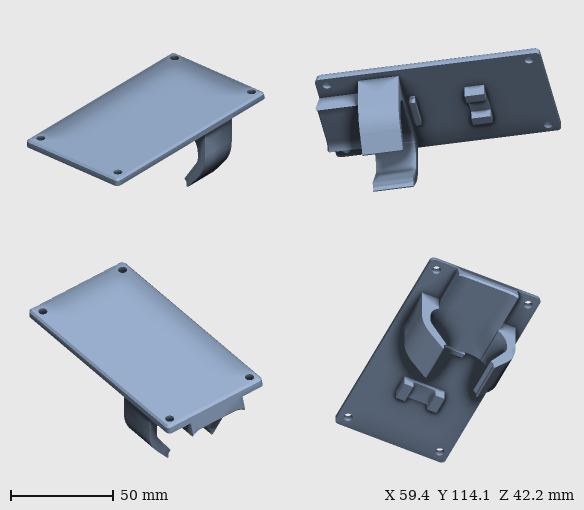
import cadquery as cq
import math

plate_width = 59.4
plate_thickness = 4.0
plate_length = 112.0
rear_slope = 0.31
corner_radius = 2.2
top_chamfer = 1.0

hole_diameter = 4.5
hole_spacing_x = 49.6
hole_front_y = 5.8
hole_spacing_y = 100.6

clip_height = 38.2
clip_front_y = 70.8
clip_depth = 20.1
clip_half_width = 25.3
outer_straight = 17.2
outer_radius = 20.4
outer_lean = math.radians(39)

opening_top = 6.0
opening_half_width = 20.6
opening_radius = 10.3
opening_side = 3.0
lower_radius = 5.7
inner_lean = math.radians(33.2)
tip_half_gap = 12.0
foot_half_gap = 13.5
foot_height = 2.5

lip_half_width = 16.1
lip_chamfer = 1.0
slit_width = 0.3

block_half_width = 11.0
block_front_y = 31.0
block_depth = 9.6
block_height = opening_top
notch_width = 12.1
notch_top = 2.0
notch_radius = 0.7

bar_diameter = 4.5
bar_half_width = 9.1
bar_front_y = 65.8
bar_thickness = 3.4
bar_height = 4.0
bar_chamfer = 1.1
bar_notch_top = 1.0
bar_notch_thickness = 1.8
bar_notch_depth = 0.6


def box(x0, x1, y0, y1, z0, z1):
    """Axis-aligned box between two opposite corners."""
    return cq.Workplane("XY").box(x1 - x0, y1 - y0, z1 - z0, centered=False).translate((x0, y0, z0))


def side_extrusion(points, half_width):
    """Extrude a (Y, Z) outline evenly to both sides of X = 0."""
    return cq.Workplane("YZ").polyline(points).close().extrude(half_width, both=True)


def make_plate():
    rear_top_y = plate_length - rear_slope * plate_thickness
    outline = [(0, 0), (plate_length, 0), (rear_top_y, plate_thickness), (0, plate_thickness)]
    plate = side_extrusion(outline, plate_width / 2)
    plate = plate.faces("<Y").edges("|Z").fillet(corner_radius)
    plate = plate.faces(">Y").edges("not |X").fillet(corner_radius)
    return plate.faces(">Z").edges().chamfer(top_chamfer)


def make_holes():
    centre = (0, hole_front_y + hole_spacing_y / 2)
    return (
        cq.Workplane("XY").center(*centre)
        .rarray(hole_spacing_x, hole_spacing_y, 2, 2)
        .circle(hole_diameter / 2).extrude(plate_thickness)
    )


def arc_point(centre, radius, angle):
    """Point on an arc; the angle runs from +X towards -Z."""
    return (centre[0] + radius * math.cos(angle), centre[1] - radius * math.sin(angle))


def clip_front_workplane():
    """XZ plane on the front of the clip, with its normal along -Y."""
    return cq.Workplane("XZ", origin=(0, clip_front_y, 0))


def half_opening_points():
    """Corner points of the right half of the opening, from its top to the arm tip."""
    upper = (opening_half_width - opening_radius, -opening_top - opening_radius)
    lower = (opening_half_width - lower_radius, upper[1] - opening_side)
    lean_start = arc_point(lower, lower_radius, inner_lean)
    tip_drop = (lean_start[0] - tip_half_gap) / math.tan(inner_lean)
    tip = (tip_half_gap, lean_start[1] - tip_drop)
    return upper, lower, lean_start, tip


def make_arm():
    """Right half of the clip, as a solid from X = 0 to its outer side."""
    upper, lower, lean_start, tip = half_opening_points()
    outer = (clip_half_width - outer_radius, -outer_straight)
    outer_end = arc_point(outer, outer_radius, outer_lean)
    foot_x = outer_end[0] - (outer_end[1] + clip_height) * math.tan(outer_lean)
    return (
        clip_front_workplane()
        .moveTo(0, 0)
        .lineTo(0, -opening_top)
        .lineTo(upper[0], -opening_top)
        .threePointArc(arc_point(upper, opening_radius, -math.pi / 4), (opening_half_width, upper[1]))
        .lineTo(opening_half_width, lower[1])
        .threePointArc(arc_point(lower, lower_radius, inner_lean / 2), lean_start)
        .lineTo(*tip)
        .lineTo(foot_half_gap, foot_height - clip_height)
        .lineTo(foot_half_gap, -clip_height)
        .lineTo(foot_x, -clip_height)
        .lineTo(*outer_end)
        .threePointArc(arc_point(outer, outer_radius, outer_lean / 2), (clip_half_width, -outer_straight))
        .lineTo(clip_half_width, 0)
        .close()
        .extrude(-clip_depth)
    )


def make_clip():
    arm = make_arm()
    slit = box(lip_half_width - slit_width, lip_half_width,
               clip_front_y, clip_front_y + clip_depth, -opening_top - opening_radius, 0)
    arm = arm.cut(slit)
    return arm.union(arm.mirror("YZ"))


def make_lip():
    """Body behind the clip: slanted rear face, underside hollowed by the clip opening."""
    lip_front_y = clip_front_y + clip_depth
    lip_depth = opening_top + opening_radius
    lip_end_y = plate_length + rear_slope * lip_depth
    outline = [(lip_front_y, 0), (plate_length, 0), (lip_end_y, -lip_depth), (lip_front_y, -lip_depth)]
    hollow = box(-opening_half_width, opening_half_width,
                 lip_front_y, lip_end_y, -lip_depth - opening_side, -opening_top)
    hollow = hollow.edges("|Y and >Z").fillet(opening_radius)
    lip = side_extrusion(outline, lip_half_width).cut(hollow)
    rear_edge_middle = (0, plate_length + rear_slope * opening_top, -opening_top)
    return lip.edges(cq.selectors.NearestToPointSelector(rear_edge_middle)).chamfer(lip_chamfer)


def make_block():
    rear_y = block_front_y + block_depth
    block = box(-block_half_width, block_half_width, block_front_y, rear_y, -block_height, 0)
    notch = box(-notch_width / 2, notch_width / 2, block_front_y, rear_y, -block_height, -notch_top)
    return block.cut(notch.edges("|Y and >Z").fillet(notch_radius))


def make_snap_bar():
    rear_y = bar_front_y + bar_thickness
    bar = (
        cq.Workplane("XY").center(0, rear_y - bar_diameter / 2)
        .slot2D(2 * bar_half_width, bar_diameter).extrude(-bar_height)
    )
    keep = side_extrusion(
        [
            (bar_front_y, 0),
            (rear_y, 0),
            (rear_y, bar_chamfer - bar_height),
            (rear_y - bar_chamfer, -bar_height),
            (bar_front_y, -bar_height),
        ],
        bar_half_width,
    )
    bar = bar.intersect(keep)
    end_notch = box(bar_half_width - bar_notch_depth, bar_half_width,
                    bar_front_y, bar_front_y + bar_notch_thickness, -bar_height, -bar_notch_top)
    return bar.cut(end_notch).cut(end_notch.mirror("YZ"))


result = (
    make_plate()
    .cut(make_holes())
    .union(make_clip())
    .union(make_lip())
    .union(make_block())
    .union(make_snap_bar())
)